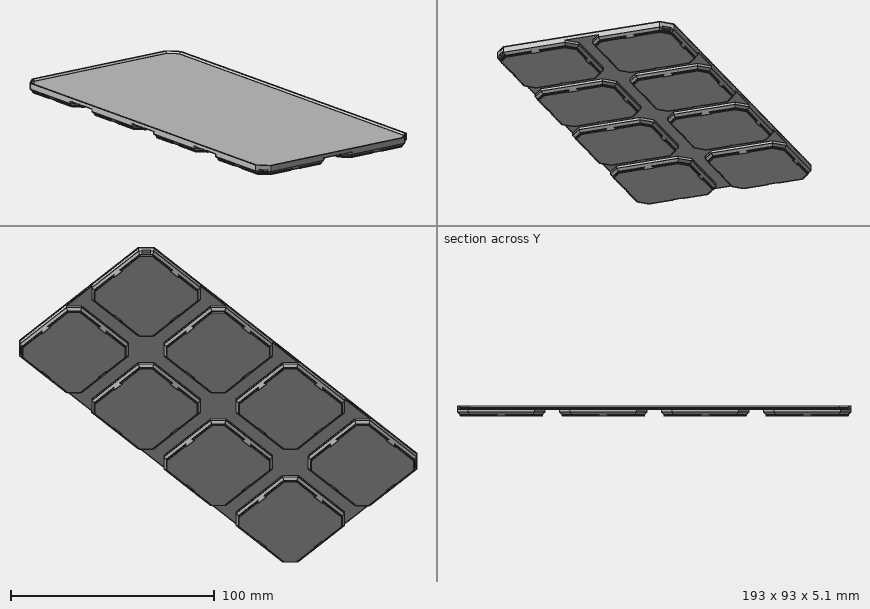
import cadquery as cq
import math

columns = 4
rows = 2
pitch = 50.0
foot_size = 43.0
corner_cut = 5.3

total_height = 5.1
plate_underside = 3.3
upper_chamfer_top = 2.1
upper_chamfer_bottom = 0.9
lower_chamfer_top = 0.4

upper_chamfer_inset = upper_chamfer_top - upper_chamfer_bottom
underside_inset = upper_chamfer_inset + lower_chamfer_top

rim_width = 0.5
recess_depth = 0.9

notch_top_width = 3.9

pocket_width = 4.3
pocket_depth = 2.5
pocket_bottom = 1.4
pocket_top = 2.85

plate_length = (columns - 1) * pitch + foot_size
plate_width = (rows - 1) * pitch + foot_size


def polygon_wire(points, z):
    """Closed wire through (x, y) points at height z."""
    return cq.Wire.makePolygon([cq.Vector(x, y, z) for x, y in points], close=True)


def octagon_wire(length, width, inset, z):
    """Corner-cut rectangle with all eight sides moved inward by inset."""
    x = length / 2 - inset
    y = width / 2 - inset
    cut = corner_cut - (2 - math.sqrt(2)) * inset
    points = [
        (x, y - cut),
        (x - cut, y),
        (cut - x, y),
        (-x, y - cut),
        (-x, cut - y),
        (cut - x, -y),
        (x - cut, -y),
        (x, cut - y),
    ]
    return polygon_wire(points, z)


def ruled_solid(bottom_wire, top_wire):
    return cq.Workplane(cq.Solid.makeLoft([bottom_wire, top_wire], True))


def octagon_layer(length, width, bottom, top):
    """Corner-cut block between two (inset, z) levels."""
    return ruled_solid(octagon_wire(length, width, *bottom), octagon_wire(length, width, *top))


def make_plate():
    """Flat tray with a shallow recess framed by a rim."""
    plate = octagon_layer(plate_length, plate_width, (0, plate_underside), (0, total_height))
    recess_floor = (rim_width + recess_depth, total_height - recess_depth)
    recess_mouth = (rim_width, total_height)
    return plate.cut(octagon_layer(plate_length, plate_width, recess_floor, recess_mouth))


def make_notch():
    """Cutter for the foot side facing +X that carries the upper chamfer down to the underside."""
    side = foot_size / 2
    wires = []
    for z in (0, upper_chamfer_bottom):
        inner = side - (upper_chamfer_top - z)
        half_width = notch_top_width / 2 + upper_chamfer_bottom - z
        corners = [
            (inner, -half_width),
            (side, -half_width),
            (side, half_width),
            (inner, half_width),
        ]
        wires.append(polygon_wire(corners, z))
    return ruled_solid(*wires)


def make_foot():
    """Octagonal foot with two chamfered steps and a notch on each straight side."""
    levels = [
        (underside_inset, 0),
        (upper_chamfer_inset, lower_chamfer_top),
        (upper_chamfer_inset, upper_chamfer_bottom),
        (0, upper_chamfer_top),
        (0, plate_underside),
    ]
    foot = octagon_layer(foot_size, foot_size, levels[0], levels[1])
    for bottom, top in zip(levels[1:], levels[2:]):
        foot = foot.union(octagon_layer(foot_size, foot_size, bottom, top))
    notch = make_notch()
    for angle in (0, 90, 180, 270):
        foot = foot.cut(notch.rotate((0, 0, 0), (0, 0, 1), angle))
    return foot


def make_pocket(x_sign, y_sign):
    """Box cutter sunk square into the diagonal face of one outer plate corner."""
    face_x = x_sign * (plate_length - corner_cut) / 2
    face_y = y_sign * (plate_width - corner_cut) / 2
    direction = math.degrees(math.atan2(y_sign, x_sign))
    box = cq.Workplane().box(
        2 * pocket_depth,
        pocket_width,
        pocket_top - pocket_bottom,
        centered=(True, True, False),
    )
    box = box.rotate((0, 0, 0), (0, 0, 1), direction)
    return box.translate((face_x, face_y, pocket_bottom))


def foot_centers():
    for column in range(columns):
        for row in range(rows):
            yield (column - (columns - 1) / 2) * pitch, (row - (rows - 1) / 2) * pitch


result = make_plate()
foot = make_foot()
for x, y in foot_centers():
    result = result.union(foot.translate((x, y, 0)))
for x_sign in (-1, 1):
    for y_sign in (-1, 1):
        result = result.cut(make_pocket(x_sign, y_sign))
result = result.clean()